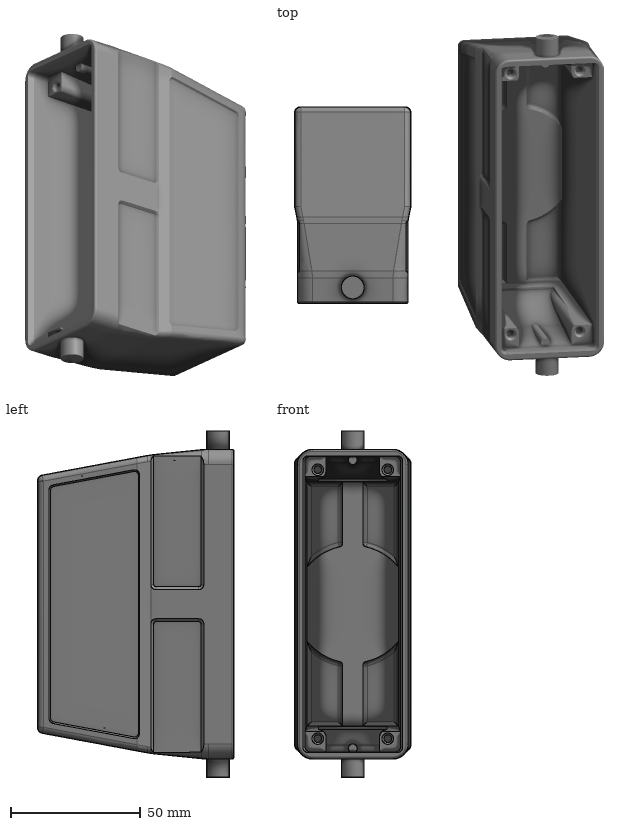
import cadquery as cq
import math

OVERALL_HEIGHT = 134.0
DEPTH = 76.0

BACK_HALF_WIDTH = 22.5
RIM_HALF_WIDTH = 21.5
RIM_HALF_HEIGHT = 59.9
BEND_HALF_HEIGHT = 57.8
BACK_HALF_HEIGHT = 49.6
RIM_CORNER = 5.9
BACK_CORNER = 2.4
RIM_BAND = 11.3
BEND_DEPTH = 32.2
SHOULDER_DEPTH = 37.5
BEND_BLEND = 1.3
BACK_EDGE_ROUND = 2.3
RIM_EDGE_ROUND = 0.8

PIN_DIAMETER = 8.8
PIN_DEPTH = 6.2

GRIP_DEPTH = 1.0
GRIP_FRONT = 11.7
GRIP_HALF_GAP = 5.6
GRIP_CORNER = 2.0
PANEL_DEPTH = 0.5
PANEL_FRONT = 36.3
PANEL_BACK = 71.5
PANEL_MARGIN = 4.5
PANEL_CORNER = 2.1
RECESS_DRAFT = 50.0

MOUTH_HALF_WIDTH = 19.3
MOUTH_HALF_HEIGHT = 57.4
LEAD_IN_DEPTH = 2.4
WALL_HALF_WIDTH = 18.5
WALL_HALF_HEIGHT = 57.1
FLOOR_HALF_WIDTH = 17.7
FLOOR_HALF_HEIGHT = 47.2
CAVITY_CORNER = 2.0
POCKET_DEPTH = 3.0
POCKET_FLOOR_ROUND = 1.7
PLATFORM_DEPTH = 70.2
PLATFORM_RADIUS = 22.8
RIB_HALF_WIDTH = 3.9
RIB_CORNER = 1.6

BOSS_FACE_DEPTH = 9.5
BOSS_HALF_HEIGHT = 49.3
BOSS_CORNER = 3.0
GAP_HALF_WIDTH = 10.3
GAP_BEND_HALF_HEIGHT = 54.5
GAP_END_HALF_HEIGHT = 48.5
SCREW_X = 13.5
SCREW_Z = 52.0
SCREW_DIAMETER = 3.0
SCREW_SINK_DIAMETER = 4.4
SCREW_SINK_ANGLE = 90.0
SCREW_DEPTH = 16.1
KEY_RADIUS = 1.7
KEY_Z = 55.7


def between(depth, start, end):
    """Linear interpolation of a value given at two (depth, value) stations."""
    share = (depth - start[0]) / (end[0] - start[0])
    return start[1] + share * (end[1] - start[1])


def end_slope_height(depth):
    """Half height of the shell with sharp bends."""
    if depth <= RIM_BAND:
        return RIM_HALF_HEIGHT
    bend = (BEND_DEPTH, BEND_HALF_HEIGHT)
    if depth <= BEND_DEPTH:
        return between(depth, (RIM_BAND, RIM_HALF_HEIGHT), bend)
    return between(depth, bend, (DEPTH, BACK_HALF_HEIGHT))


def outer_half_height(depth):
    """Half height of the shell with a flat strip across each bend."""
    for bend_depth in (RIM_BAND, BEND_DEPTH):
        if abs(depth - bend_depth) < BEND_BLEND:
            start = bend_depth - BEND_BLEND
            end = bend_depth + BEND_BLEND
            return between(depth, (start, end_slope_height(start)), (end, end_slope_height(end)))
    return end_slope_height(depth)


def outer_half_width(depth):
    if depth <= BEND_DEPTH:
        return RIM_HALF_WIDTH
    if depth >= SHOULDER_DEPTH:
        return BACK_HALF_WIDTH
    return between(depth, (BEND_DEPTH, RIM_HALF_WIDTH), (SHOULDER_DEPTH, BACK_HALF_WIDTH))


def outer_corner(depth):
    if depth <= RIM_BAND:
        return RIM_CORNER
    if depth >= BEND_DEPTH:
        return BACK_CORNER
    return between(depth, (RIM_BAND, RIM_CORNER), (BEND_DEPTH, BACK_CORNER))


def rounded_section(depth, half_width, half_height, corner):
    """Rounded rectangle wire in the plane Y = depth."""
    sketch = cq.Sketch().rect(2 * half_width, 2 * half_height).vertices().fillet(corner)
    face = sketch.reset().faces().val()
    plane = cq.Plane.named("XZ", origin=(0, depth, 0))
    return face.outerWire().moved(plane.location)


def ruled_body(*sections):
    return cq.Workplane(cq.Solid.makeLoft([rounded_section(*section) for section in sections], True))


def along_y(start):
    """Workplane at Y = start whose extrusions grow toward +Y; its local y axis points to -Z."""
    return cq.Workplane(cq.Plane(origin=(0, start, 0), xDir=(1, 0, 0), normal=(0, 1, 0)))


def outer_shell():
    depths = [
        0,
        RIM_BAND - BEND_BLEND,
        RIM_BAND + BEND_BLEND,
        BEND_DEPTH - BEND_BLEND,
        BEND_DEPTH,
        BEND_DEPTH + BEND_BLEND,
        SHOULDER_DEPTH,
        DEPTH,
    ]
    sections = []
    for depth in depths:
        sections.append((depth, outer_half_width(depth), outer_half_height(depth), outer_corner(depth)))
    shell = ruled_body(*sections).clean()
    shell = shell.faces(">Y").edges().fillet(BACK_EDGE_ROUND)
    return shell.faces("<Y").edges().fillet(RIM_EDGE_ROUND)


def side_recess(points, corner, face_x, depth):
    """Tapered cutter sunk into both sides from X = +-face_x; points are (Y, Z)."""
    plane = cq.Plane(origin=(-face_x, 0, 0), xDir=(0, 1, 0), normal=(1, 0, 0))
    outline = cq.Sketch().polygon(points + points[:1]).vertices().fillet(corner)
    cutter = cq.Workplane(plane).placeSketch(outline).extrude(depth, taper=RECESS_DRAFT)
    return cutter.union(cutter.mirror("YZ"))


def panel_recess():
    front_z = outer_half_height(PANEL_FRONT) - PANEL_MARGIN
    back_z = outer_half_height(PANEL_BACK) - PANEL_MARGIN
    points = [
        (PANEL_FRONT, -front_z),
        (PANEL_BACK, -back_z),
        (PANEL_BACK, back_z),
        (PANEL_FRONT, front_z),
    ]
    return side_recess(points, PANEL_CORNER, BACK_HALF_WIDTH, PANEL_DEPTH)


def grip_recess():
    """Upper pair of grip recesses, running out through the rounded corners of the shell."""
    beyond_end = OVERALL_HEIGHT / 2
    points = [
        (GRIP_FRONT, GRIP_HALF_GAP),
        (BEND_DEPTH, GRIP_HALF_GAP),
        (BEND_DEPTH, beyond_end),
        (GRIP_FRONT, beyond_end),
    ]
    return side_recess(points, GRIP_CORNER, RIM_HALF_WIDTH, GRIP_DEPTH)


def both_ends(upper):
    return upper.union(upper.mirror("XY"))


def floor_pockets():
    """Four pockets left between the middle ribs, the round platform and the cavity walls."""
    width = FLOOR_HALF_WIDTH - RIB_HALF_WIDTH
    pocket = (
        along_y(PLATFORM_DEPTH)
        .center(RIB_HALF_WIDTH + width / 2, -FLOOR_HALF_HEIGHT / 2)
        .rect(width, FLOOR_HALF_HEIGHT)
        .extrude(POCKET_DEPTH)
    )
    pocket = pocket.cut(along_y(PLATFORM_DEPTH).circle(PLATFORM_RADIUS).extrude(POCKET_DEPTH))
    rib_end_z = math.sqrt(PLATFORM_RADIUS ** 2 - RIB_HALF_WIDTH ** 2)
    near_rib_end = cq.NearestToPointSelector((RIB_HALF_WIDTH, PLATFORM_DEPTH + POCKET_DEPTH / 2, rib_end_z))
    pocket = pocket.edges("|Y").edges(near_rib_end).fillet(RIB_CORNER)
    pocket = pocket.faces(">Y").edges().fillet(POCKET_FLOOR_ROUND)
    return both_ends(pocket.union(pocket.mirror("YZ")))


def boss_gap():
    """Space between the two bosses of each end, following the slope of the shell outside."""
    slope = (BEND_HALF_HEIGHT - BACK_HALF_HEIGHT) / (DEPTH - BEND_DEPTH)
    end_depth = BEND_DEPTH + (GAP_BEND_HALF_HEIGHT - GAP_END_HALF_HEIGHT) / slope
    upper = [
        (LEAD_IN_DEPTH, WALL_HALF_HEIGHT),
        (BOSS_FACE_DEPTH, WALL_HALF_HEIGHT),
        (BEND_DEPTH, GAP_BEND_HALF_HEIGHT),
        (end_depth, GAP_END_HALF_HEIGHT),
    ]
    lower = [(depth, -height) for depth, height in reversed(upper)]
    corner_x = GAP_HALF_WIDTH + BOSS_CORNER
    corner_z = GAP_END_HALF_HEIGHT + BOSS_CORNER
    gap = cq.Workplane("YZ").polyline(upper + lower).close().extrude(corner_x, both=True)
    for x in (-corner_x, corner_x):
        for z in (-corner_z, corner_z):
            outer_z = math.copysign(WALL_HALF_HEIGHT, z)
            boss = along_y(0).center(x, (-z - outer_z) / 2).rect(2 * BOSS_CORNER, abs(outer_z - z)).extrude(DEPTH)
            gap = gap.cut(boss).cut(along_y(0).center(x, -z).circle(BOSS_CORNER).extrude(DEPTH))
    return gap


def cavity():
    mouth = ruled_body(
        (0, MOUTH_HALF_WIDTH, MOUTH_HALF_HEIGHT, CAVITY_CORNER),
        (LEAD_IN_DEPTH, WALL_HALF_WIDTH, WALL_HALF_HEIGHT, CAVITY_CORNER),
        (BOSS_FACE_DEPTH, WALL_HALF_WIDTH, WALL_HALF_HEIGHT, CAVITY_CORNER),
    )
    core = (
        along_y(BOSS_FACE_DEPTH).rect(2 * WALL_HALF_WIDTH, 2 * BOSS_HALF_HEIGHT)
        .workplane(offset=PLATFORM_DEPTH - BOSS_FACE_DEPTH)
        .rect(2 * FLOOR_HALF_WIDTH, 2 * FLOOR_HALF_HEIGHT).loft(ruled=True)
    )
    return core.union(mouth).union(boss_gap()).union(floor_pockets())


def screw_holes():
    places = [(x, z) for x in (-SCREW_X, SCREW_X) for z in (-SCREW_Z, SCREW_Z)]
    drill = along_y(BOSS_FACE_DEPTH).pushPoints(places).circle(SCREW_DIAMETER / 2).extrude(SCREW_DEPTH)
    sink_depth = (SCREW_SINK_DIAMETER - SCREW_DIAMETER) / 2
    sink = (
        along_y(BOSS_FACE_DEPTH).pushPoints(places).circle(SCREW_SINK_DIAMETER / 2)
        .extrude(sink_depth, taper=SCREW_SINK_ANGLE / 2)
    )
    return drill.union(sink)


def end_keys():
    """Round ribs along the end walls, from the boss faces back to the bend of the wall."""
    places = [(0, -KEY_Z), (0, KEY_Z)]
    return along_y(BOSS_FACE_DEPTH).pushPoints(places).circle(KEY_RADIUS).extrude(BEND_DEPTH - BOSS_FACE_DEPTH)


def pins():
    """Locking pins standing on the ends; they start inside the wall."""
    root = (RIM_HALF_HEIGHT + WALL_HALF_HEIGHT) / 2
    pin = cq.Workplane("XY", origin=(0, PIN_DEPTH, root)).circle(PIN_DIAMETER / 2)
    return both_ends(pin.extrude(OVERALL_HEIGHT / 2 - root))


hood = outer_shell().cut(panel_recess()).cut(both_ends(grip_recess()))
hood = hood.cut(cavity()).cut(screw_holes())
result = hood.union(end_keys()).union(pins())